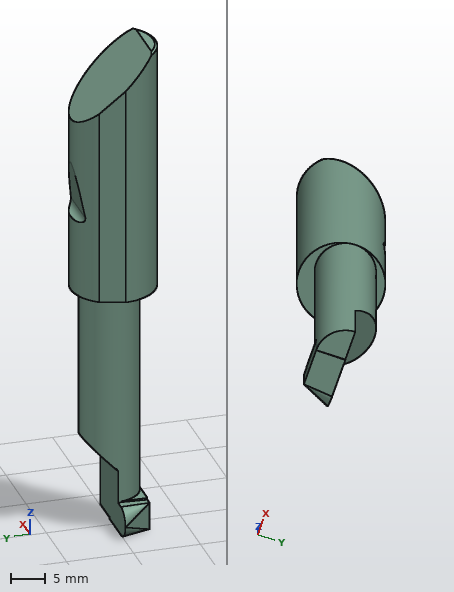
import cadquery as cq
import math

total_length = 76.1

shank_radius = 6.355
shank_bottom = 38.05
rim_chamfer_width = 0.4
rim_chamfer_height = 0.2
bevel_start_y = -4.6
flat_start_angle = 145.0
flat_end_angle = 180.0

notch_depth = 1.15
notch_bottom = 49.7
notch_top = 58.2
notch_radius = 1.15

neck_radius = 4.4
neck_x = shank_radius - neck_radius
neck_bottom = 0.2
relief_end = 9.5

nose_radius = 2.245
nose_tip_x = -6.2
nose_x = nose_tip_x + nose_radius
front_y = -neck_radius
front_edge_x = -3.5
front_clearance = 0.15
step_x = -2.4
step_top = 4.65

cut_span = 4 * shank_radius


def extrude_along_x(profile):
    """Extrude a closed YZ profile right across the bar."""
    return profile.close().extrude(cut_span / 2, both=True)


def make_shank():
    flat_points = []
    for angle in (flat_start_angle, flat_end_angle):
        turn = math.radians(angle)
        flat_points.append((shank_radius * math.cos(turn), shank_radius * math.sin(turn)))
    flat_start, flat_end = flat_points
    shank = (
        cq.Workplane("XY", origin=(0, 0, shank_bottom))
        .moveTo(*flat_end)
        .threePointArc((shank_radius, 0), flat_start)
        .close()
        .extrude(total_length - shank_bottom)
    )
    rim = (
        cq.Workplane("XZ")
        .moveTo(0, shank_bottom)
        .lineTo(shank_radius, shank_bottom)
        .lineTo(shank_radius, total_length - rim_chamfer_height)
        .lineTo(shank_radius - rim_chamfer_width, total_length)
        .lineTo(0, total_length)
        .close()
        .revolve(360, (0, 0, 0), (0, 1, 0))
    )
    return shank.intersect(rim)


def make_end_bevel():
    """Material removed by the 45 degree bevel at the top."""
    return extrude_along_x(
        cq.Workplane("YZ")
        .moveTo(bevel_start_y, total_length)
        .lineTo(bevel_start_y + cut_span, total_length - cut_span)
        .lineTo(bevel_start_y + cut_span, total_length)
    )


def make_notch():
    """Sloping notch that ends in a rounded lower shoulder."""
    floor_y = shank_radius - notch_depth
    arc_center_z = notch_bottom + notch_radius
    arc_offset = notch_radius * math.sqrt(0.5)
    return extrude_along_x(
        cq.Workplane("YZ")
        .moveTo(shank_radius, notch_top)
        .lineTo(floor_y, arc_center_z)
        .threePointArc(
            (floor_y + notch_radius - arc_offset, arc_center_z - arc_offset),
            (floor_y + notch_radius, notch_bottom),
        )
        .lineTo(cut_span, notch_bottom)
        .lineTo(cut_span, notch_top)
    )


def make_neck():
    neck = (
        cq.Workplane("XY", origin=(neck_x, 0, neck_bottom))
        .circle(neck_radius)
        .extrude(shank_bottom - neck_bottom)
    )
    relief = extrude_along_x(
        cq.Workplane("YZ")
        .moveTo(0, 0)
        .lineTo(0, relief_end)
        .lineTo(cut_span, relief_end + cut_span)
        .lineTo(cut_span, 0)
    )
    return neck.cut(relief)


def pyramid(base_edges, apex):
    """Join a closed planar outline to a single point."""
    base = cq.Wire.assembleEdges(base_edges)
    return cq.occ_impl.shapes.loft(base, cq.Vertex.makeVertex(*apex), cap=True, ruled=True)


def block_section(y, left_x, bottom_z, top_z):
    corners = [(left_x, bottom_z), (neck_x, bottom_z), (neck_x, top_z), (left_x, top_z)]
    return cq.Wire.makePolygon([cq.Vector(x, y, z) for x, z in corners], close=True)


def make_head():
    nose_tip = cq.Vector(nose_tip_x, 0, nose_radius)
    nose_center = cq.Vector(nose_x, 0, nose_radius)
    front_bottom = front_clearance
    front_top = 2 * nose_radius - front_clearance
    back_section = block_section(0, nose_x, 0, 2 * nose_radius)
    front_section = block_section(front_y, front_edge_x, front_bottom, front_top)
    head = cq.Workplane(cq.Solid.makeLoft([back_section, front_section], True))

    front_corners = []
    for side, corner_z in ((1, front_top), (-1, front_bottom)):
        corner = cq.Vector(front_edge_x, front_y, corner_z)
        front_corners.append(corner)
        offset = nose_radius * math.sqrt(0.5)
        arc_middle = nose_center + cq.Vector(-offset, 0, side * offset)
        arc_end = nose_center + cq.Vector(0, 0, side * nose_radius)
        quarter = [
            cq.Edge.makeLine(nose_center, nose_tip),
            cq.Edge.makeThreePointArc(nose_tip, arc_middle, arc_end),
            cq.Edge.makeLine(arc_end, nose_center),
        ]
        head = head.union(cq.Workplane(pyramid(quarter, corner.toTuple())))

    upper, lower = front_corners
    flank_base = [
        cq.Edge.makeLine(nose_center, upper),
        cq.Edge.makeLine(upper, lower),
        cq.Edge.makeLine(lower, nose_center),
    ]
    return head.union(cq.Workplane(pyramid(flank_base, nose_tip.toTuple())))


def make_head_step():
    """Slightly higher part of the head, next to the neck."""
    return cq.Workplane("XY").box(
        neck_x - step_x, neck_radius, step_top - neck_bottom, centered=False
    ).translate((step_x, front_y, neck_bottom))


shank_body = make_shank().cut(make_end_bevel()).cut(make_notch())
result = shank_body.union(make_neck()).union(make_head()).union(make_head_step())